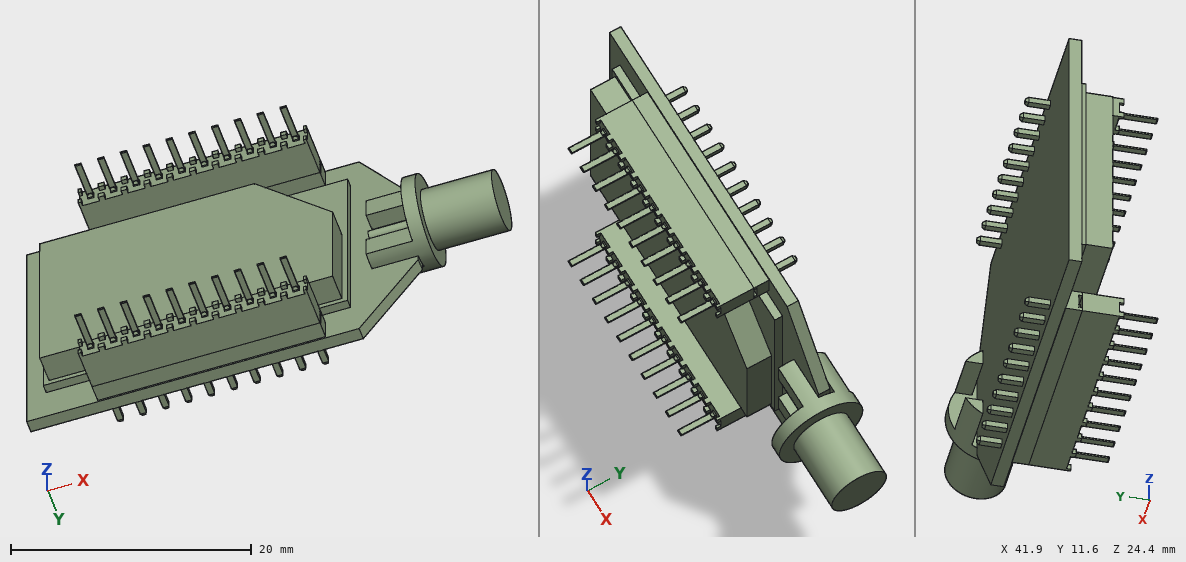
import cadquery as cq


board_height = 24.4
board_thickness = 1.1
board_nose_x = 34.35
board_taper_x = 29.15
board_nose_half_height = 4.5

module_left = 1.7
module_width = 26.7
module_height = 17.75
module_center_z = 0.13
module_base_thickness = 0.75
shield_inset = 0.5
shield_front = 3.15
shield_cut_x = 6.85
shield_cut_z = 7.35

overall_length = 41.85
connector_axis_y = -0.5
flange_radius = 4.0
flange_thickness = 1.25
barrel_radius = 2.65
leg_length = 4.05
front_leg_face = -1.5
front_leg_half_gap = 1.75
rear_leg_clearance = 0.4
rear_leg_half_gap = 2.0
center_pin_radius = 0.5

pin_count = 10
pin_row_span = 18.0
pitch = pin_row_span / (pin_count - 1)
row_z = 11.0
row_left = 6.25
row_length = pin_count * pitch
strip_height = 2.0
pin_size = 0.55
pin_rear_length = 2.1
pin_tip_length = 0.25
pin_tip_size = 0.3

strip_front = 1.45
channel_width = 1.3
channel_depth = 0.3

socket_front = 5.0
socket_recess = 0.38
socket_groove_width = 1.0
cell_width = 1.5
contact_root_length = 0.13
tail_end = 8.08
tail_thickness = 0.15
tail_tip_length = 0.1
tail_tip_thickness = 0.1

pin_xs = [row_left + (i + 0.5) * pitch for i in range(pin_count)]


def block(x0, x1, y0, y1, z0, z1):
    """Box between two opposite corners."""
    return cq.Workplane("XY").box(x1 - x0, y1 - y0, z1 - z0, centered=False).translate((x0, y0, z0))


def bar(x, z, width, height, y0, y1):
    """Bar along Y, centred on x and z."""
    return block(x - width / 2, x + width / 2, y0, y1, z - height / 2, z + height / 2)


def taper(x, z, start_size, end_size, start_y, end_y):
    """Rectangular taper along Y from start_y to end_y; each size is (width, height)."""
    start = cq.Workplane("XZ", origin=(x, start_y, z)).rect(*start_size)
    return start.workplane(offset=start_y - end_y).rect(*end_size).loft(ruled=True)


def rod(radius, x0, x1):
    """Cylinder on the connector axis, along X."""
    return cq.Workplane("YZ", origin=(x0, connector_axis_y, 0)).circle(radius).extrude(x1 - x0)


def make_board():
    half = board_height / 2
    outline = [
        (0, -half),
        (board_taper_x, -half),
        (board_nose_x, -board_nose_half_height),
        (board_nose_x, board_nose_half_height),
        (board_taper_x, half),
        (0, half),
    ]
    return cq.Workplane("XZ").polyline(outline).close().extrude(-board_thickness)


def make_radio():
    right = module_left + module_width
    bottom = module_center_z - module_height / 2
    top = module_center_z + module_height / 2
    base = block(module_left, right, -module_base_thickness, 0, bottom, top)

    shield_left = module_left + shield_inset
    shield_right = right - shield_inset
    shield_bottom = bottom + shield_inset
    shield_top = top - shield_inset
    shield_outline = [
        (shield_left, shield_bottom),
        (shield_right, shield_bottom),
        (shield_right, shield_top - shield_cut_z),
        (shield_right - shield_cut_x, shield_top),
        (shield_left, shield_top),
    ]
    shield = cq.Workplane("XZ").polyline(shield_outline).close().extrude(shield_front)
    return base.union(shield)


def make_legs():
    """Four legs with the flange's round outside: two on the board face, two behind the board."""
    x0 = board_nose_x - leg_length
    x1 = board_nose_x
    rear_y = board_thickness + rear_leg_clearance
    reach = flange_radius
    sectors = cq.Workplane("XY")
    for near, far in ((front_leg_half_gap, reach), (-reach, -front_leg_half_gap)):
        sectors = sectors.add(block(x0, x1, front_leg_face, 0, near, far))
    for near, far in ((rear_leg_half_gap, reach), (-reach, -rear_leg_half_gap)):
        sectors = sectors.add(block(x0, x1, rear_y, reach, near, far))
    return rod(flange_radius, x0, x1).intersect(sectors.combine())


def make_connector():
    flange_end = board_nose_x + flange_thickness
    flange = rod(flange_radius, board_nose_x, flange_end)
    barrel = rod(barrel_radius, flange_end, overall_length)
    center_pin = rod(center_pin_radius, board_nose_x - leg_length, board_nose_x)
    return flange.union(barrel).union(make_legs()).union(center_pin)


def make_pin(x, z):
    """Square pin from the front of the strip, through the board, to a tapered rear tip."""
    rear_end = board_thickness + pin_rear_length
    tip_start = rear_end - pin_tip_length
    shank = bar(x, z, pin_size, pin_size, -strip_front, tip_start)
    tip = taper(x, z, (pin_size, pin_size), (pin_tip_size, pin_tip_size), tip_start, rear_end)
    return shank.union(tip)


def make_pin_strip(z):
    middle_x = row_left + row_length / 2
    strip = bar(middle_x, z, row_length, strip_height, -strip_front, 0)
    channel = bar(middle_x, z, row_length, channel_width, -strip_front, channel_depth - strip_front)
    strip = strip.cut(channel)
    for x in pin_xs:
        strip = strip.union(make_pin(x, z))
    return strip


def make_radio_board():
    """Board with everything soldered to it."""
    radio_board = make_board().union(make_radio()).union(make_connector())
    for z in (-row_z, row_z):
        radio_board = radio_board.union(make_pin_strip(z))
    return radio_board


def make_tail(x, z):
    """Square contact root tapering to a thin blade tail whose tip is thinned."""
    floor = socket_recess - socket_front
    blade_end = tail_tip_length - tail_end
    root_end = floor - contact_root_length
    shoulder_end = root_end - pin_tip_length
    root = bar(x, z, pin_size, pin_size, root_end, floor)
    shoulder = taper(x, z, (pin_size, pin_size), (pin_tip_size, pin_tip_size), root_end, shoulder_end)
    blade = bar(x, z, pin_size, tail_thickness, blade_end, floor)
    tip = taper(x, z, (pin_size, tail_thickness), (pin_size, tail_tip_thickness), blade_end, -tail_end)
    return root.union(shoulder).union(blade).union(tip)


def make_socket(z):
    """Socket bar whose front has teeth left between a long groove and one open cell per contact."""
    floor = socket_recess - socket_front
    middle_x = row_left + row_length / 2
    socket = bar(middle_x, z, row_length, strip_height, -socket_front, -strip_front)
    socket = socket.cut(bar(middle_x, z, row_length, socket_groove_width, -socket_front, floor))
    for x in pin_xs:
        socket = socket.cut(bar(x, z, cell_width, strip_height, -socket_front, floor))
    for x in pin_xs:
        socket = socket.union(make_tail(x, z))
    return socket


radio_board = make_radio_board()
sockets = [make_socket(z) for z in (-row_z, row_z)]

result = cq.Compound.makeCompound([radio_board.val(), *[socket.val() for socket in sockets]])